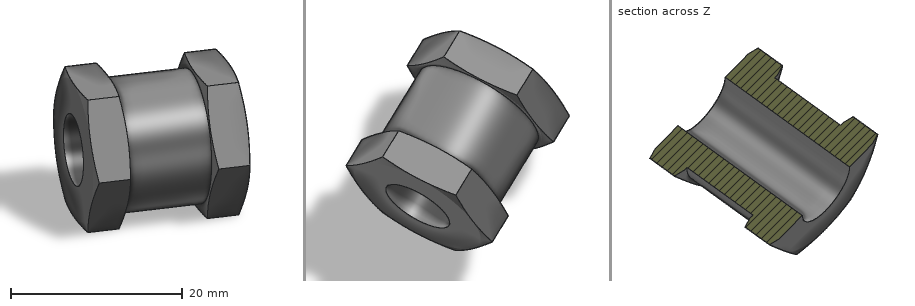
import cadquery as cq
import math

across_corners = 19.63
total_length = 19.0
hex_thickness = 4.5
barrel_diameter = 16.0
bore_diameter = 8.55
chamfer_angle = 15.0

across_flats = across_corners * math.cos(math.radians(30))
corner_radius = across_corners / 2
face_radius = across_flats / 2
chamfer_depth = (corner_radius - face_radius) * math.tan(math.radians(chamfer_angle))
hex_offset = (total_length - hex_thickness) / 2


def chamfered_hexagon(center_y):
    """Hexagonal collar with its corners turned down conically on both faces."""
    half = hex_thickness / 2
    hexagon = (
        cq.Workplane("XZ")
        .polygon(6, across_corners)
        .extrude(half, both=True)
    )
    turned_envelope = (
        cq.Workplane("XY")
        .moveTo(0, -half)
        .lineTo(face_radius, -half)
        .lineTo(corner_radius, chamfer_depth - half)
        .lineTo(corner_radius, half - chamfer_depth)
        .lineTo(face_radius, half)
        .lineTo(0, half)
        .close()
        .revolve(360, (0, 0, 0), (0, 1, 0))
    )
    return hexagon.intersect(turned_envelope).translate((0, center_y, 0))


def centered_cylinder(diameter, length):
    """Cylinder along Y, centered on the origin."""
    return cq.Workplane("XZ").circle(diameter / 2).extrude(length / 2, both=True)


body = centered_cylinder(barrel_diameter, 2 * hex_offset)
for side in (-1, 1):
    body = body.union(chamfered_hexagon(side * hex_offset))

result = body.cut(centered_cylinder(bore_diameter, total_length))